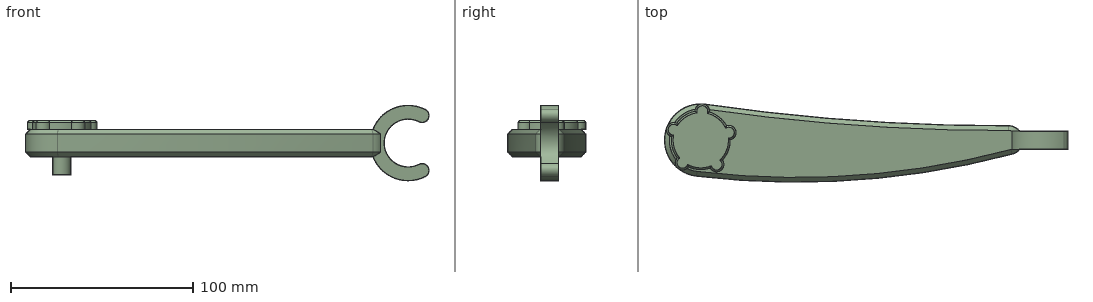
import cadquery as cq
import math

hub_radius = 20.0
tip_radius = 8.0
tip_x = 168.6
belly_radius = 460.3
waist_radius = 1133.0
arm_thickness = 15.0
arm_chamfer = 2.7

knob_height = 4.9
knob_core_radius = 16.2
lobe_count = 5
lobe_radius = 4.0
lobe_pitch_radius = hub_radius - lobe_radius
lobe_start_angle = 15.0
knob_chamfer = 1.0

pin_diameter = 10.0
pin_length = 10.0

fork_height = 41.4
fork_outer_radius = fork_height / 2
fork_inner_radius = 13.0
fork_width = pin_diameter
fork_x = 189.9
fork_end_angle = 63.0

arm_top = arm_thickness / 2


def edge_circle_centre(hub_distance, tip_distance):
    """Point at the given distances from the hub and tip centres, on the +Y side."""
    x = (hub_distance**2 - tip_distance**2 + tip_x**2) / (2 * tip_x)
    return x, math.sqrt(hub_distance**2 - x**2)


def point_towards(start, target, distance):
    """Point at the given distance from start on the ray through target."""
    span = math.hypot(target[0] - start[0], target[1] - start[1])
    return (
        start[0] + (target[0] - start[0]) * distance / span,
        start[1] + (target[1] - start[1]) * distance / span,
    )


def make_arm():
    """Hub and tip rounds joined by two arcs tangent to both, chamfered on both faces."""
    hub = (0, 0)
    tip = (tip_x, 0)
    waist = edge_circle_centre(waist_radius + hub_radius, waist_radius + tip_radius)
    belly = edge_circle_centre(belly_radius - hub_radius, belly_radius - tip_radius)

    waist_start = point_towards(hub, waist, hub_radius)
    waist_middle = point_towards(waist, (tip_x / 2, 0), waist_radius)
    waist_end = point_towards(tip, waist, tip_radius)
    belly_start = point_towards(belly, tip, belly_radius)
    belly_middle = point_towards(belly, (tip_x / 2, 0), belly_radius)
    belly_end = point_towards(belly, hub, belly_radius)

    outline = (
        cq.Workplane("XY", origin=(0, 0, -arm_top))
        .moveTo(*waist_start)
        .threePointArc(waist_middle, waist_end)
        .threePointArc((tip_x + tip_radius, 0), belly_start)
        .threePointArc(belly_middle, belly_end)
        .threePointArc((-hub_radius, 0), waist_start)
        .close()
    )
    return outline.extrude(arm_thickness).faces("|Z").edges().chamfer(arm_chamfer)


def make_knob_disc(x, y, radius):
    """Upright disc standing on the arm with a chamfered top rim."""
    disc = cq.Workplane("XY", origin=(x, y, arm_top)).circle(radius).extrude(knob_height)
    return disc.faces(">Z").edges().chamfer(knob_chamfer)


def make_knob():
    """Round core with evenly spaced round lobes."""
    knob = make_knob_disc(0, 0, knob_core_radius)
    for index in range(lobe_count):
        angle = math.radians(lobe_start_angle + 360 * index / lobe_count)
        x = lobe_pitch_radius * math.cos(angle)
        y = lobe_pitch_radius * math.sin(angle)
        knob = knob.union(make_knob_disc(x, y, lobe_radius))
    return knob


def make_pin():
    """Round pin hanging from the hub."""
    pin_base = cq.Workplane("XY", origin=(0, 0, -arm_top))
    return pin_base.circle(pin_diameter / 2).extrude(-pin_length)


def fork_point(radius, angle):
    """Point in the XZ plane on a circle about the fork axis."""
    turn = math.radians(angle)
    return fork_x + radius * math.cos(turn), radius * math.sin(turn)


def make_fork():
    """Ring open towards +X with fully rounded ends."""
    cap_radius = (fork_outer_radius - fork_inner_radius) / 2
    middle_radius = fork_inner_radius + cap_radius
    cap_lean = math.degrees(math.atan(cap_radius / middle_radius))
    cap_reach = math.hypot(cap_radius, middle_radius)
    upper = fork_end_angle
    lower = -fork_end_angle
    return (
        cq.Workplane("XZ")
        .moveTo(*fork_point(fork_outer_radius, upper))
        .threePointArc(fork_point(fork_outer_radius, 180), fork_point(fork_outer_radius, lower))
        .threePointArc(fork_point(cap_reach, lower + cap_lean), fork_point(fork_inner_radius, lower))
        .threePointArc(fork_point(fork_inner_radius, 180), fork_point(fork_inner_radius, upper))
        .threePointArc(fork_point(cap_reach, upper - cap_lean), fork_point(fork_outer_radius, upper))
        .close()
        .extrude(fork_width / 2, both=True)
    )


def make_fork_bore():
    """Cylinder that clears the arm tip from the inside of the fork."""
    bore = cq.Workplane("XZ").center(fork_x, 0).circle(fork_inner_radius)
    return bore.extrude(hub_radius, both=True)


arm = make_arm().cut(make_fork_bore())
result = arm.union(make_fork()).union(make_knob()).union(make_pin())